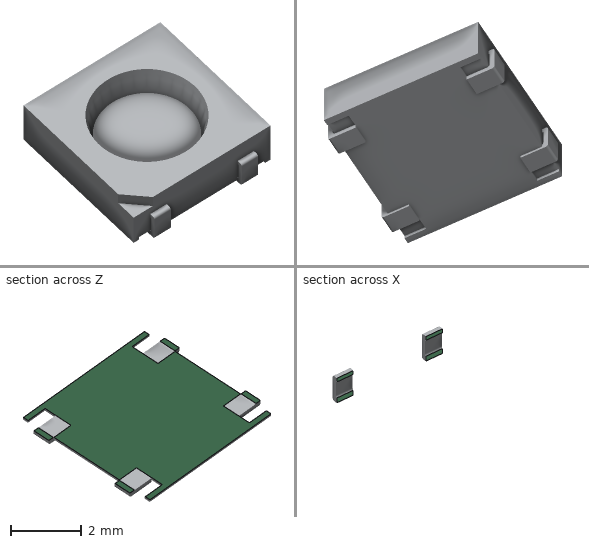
import cadquery as cq

total_length = 5.4
body_width = 5.01
total_height = 1.57
standoff = 0.085

well_top_diameter = 3.51
well_floor_diameter = 3.09
well_depth = 0.8

marker_leg = 0.7
marker_depth = 0.39

lead_width = 0.6
lead_thickness = 0.15
lead_height = 0.9
lead_spacing = 3.195
foot_inner_x = 1.805
outer_bend_radius = 0.075
inner_bend_radius = 0.1

pocket_depth = 0.11
pocket_outer_y = 2.305

half_length = total_length / 2
half_body = body_width / 2
lead_wall_x = half_length - lead_thickness


def make_body():
    body_height = total_height - standoff
    return cq.Workplane("XY", origin=(0, 0, standoff)).box(
        body_width, body_width, body_height, centered=(True, True, False)
    )


def make_light_well():
    return (
        cq.Workplane("XY", origin=(0, 0, total_height))
        .circle(well_top_diameter / 2)
        .workplane(offset=-well_depth)
        .circle(well_floor_diameter / 2)
        .loft(ruled=True)
    )


def make_corner_marker():
    """Triangular step at the +X, -Y corner of the top face."""
    return (
        cq.Workplane("XY", origin=(half_body, -half_body, total_height))
        .lineTo(-marker_leg, 0)
        .lineTo(0, marker_leg)
        .close()
        .extrude(-marker_depth)
    )


def make_foot_pocket():
    """Pocket open to the underside and the +X side, on the +Y half of the body."""
    pocket_inner_y = (lead_spacing - lead_width) / 2
    return cq.Workplane("XY", origin=(foot_inner_x, pocket_inner_y, standoff)).box(
        half_body - foot_inner_x, pocket_outer_y - pocket_inner_y, pocket_depth, centered=False
    )


def make_lead():
    """Lead on the +X side and +Y half: foot, upright, and a top arm that meets the body."""
    lead = (
        cq.Workplane("XZ", origin=(0, (lead_spacing + lead_width) / 2, 0))
        .moveTo(foot_inner_x, 0)
        .lineTo(half_length, 0)
        .lineTo(half_length, lead_height)
        .lineTo(half_body, lead_height)
        .lineTo(half_body, lead_height - lead_thickness)
        .lineTo(lead_wall_x, lead_height - lead_thickness)
        .lineTo(lead_wall_x, lead_thickness)
        .lineTo(foot_inner_x, lead_thickness)
        .close()
        .extrude(lead_width)
    )
    lead = lead.edges("|Y and >X").fillet(outer_bend_radius)
    inner_bend = cq.selectors.NearestToPointSelector((lead_wall_x, lead_spacing / 2, lead_thickness))
    return lead.edges(inner_bend).fillet(inner_bend_radius)


def copy_to_all_corners(shape):
    """Mirror a shape from the +X, +Y quarter into the other three quarters."""
    both_sides = shape.union(shape.mirror("XZ"))
    return both_sides.union(both_sides.mirror("YZ"))


result = (
    make_body()
    .cut(make_light_well())
    .cut(make_corner_marker())
    .cut(copy_to_all_corners(make_foot_pocket()))
    .union(copy_to_all_corners(make_lead()))
)